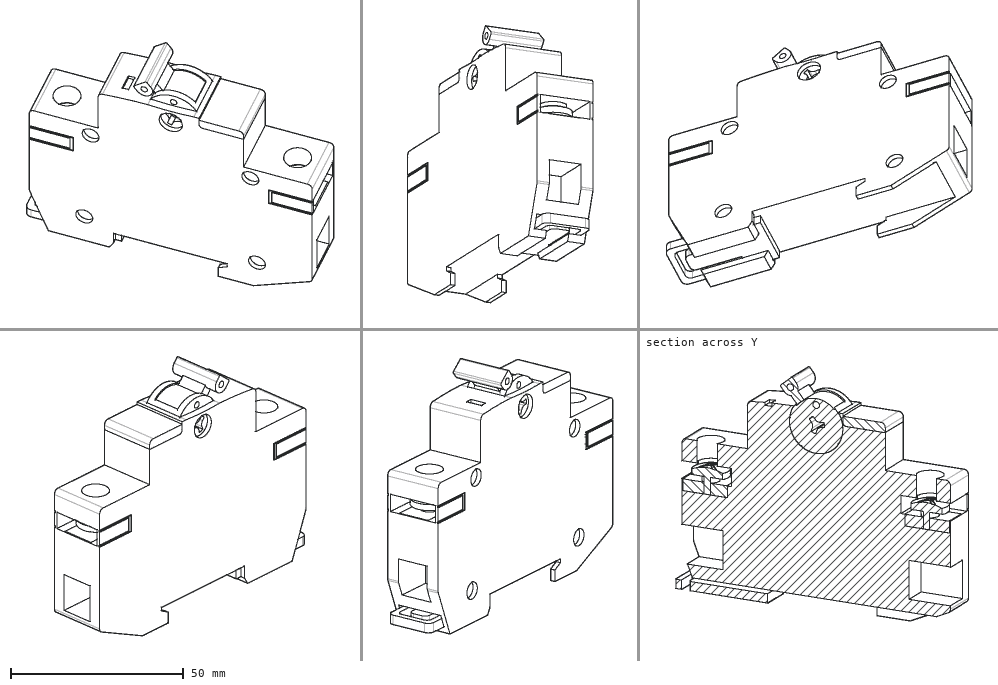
import cadquery as cq
import math


LENGTH = 87.5
WIDTH = 18.0
SHOULDER_Z = 48.4
CROWN_START_X = 21.3
CROWN_END_X = 66.3
CROWN_Z = 63.7
CROWN_EDGE_DROP = 0.9
EDGE_RADIUS = 1.5
TAPER_TOP_Z = 14.8
TAPER_FOOT_X = 5.9
RAIL_Z = 6.2
RAIL_START_X = 26.0
RAIL_END_X = 61.2
RAIL_LEAD_IN = 1.25
HOOK_X = 58.4
HOOK_LOW_Z = 3.6
HOOK_HIGH_Z = 5.0
HEEL_X = 69.4
HEEL_TOP_Z = 8.3

COVER_START_X = 52.5
COVER_BOTTOM_Z = 60.0
COVER_TOP_Z = 62.9
COVER_INNER_RADIUS = 1.2

PIVOT_X = 43.8
PIVOT_Z = 58.9
DRUM_RADIUS = 8.6
DRUM_WIDTH = 13.2
DISH_DEPTH = 0.3
JOURNAL_RADIUS = 3.6
JOURNAL_RECESS = 1.5
KEY_REACH = 2.6
KEY_WIDTH = 1.4
KEY_FILLET = 1.8
KEY_ANGLE = 9
SEAL_HOLE_RADIUS = 1.0
DRUM_HOLE_RISE = 6.1
GROOVE_DEPTH = 0.45
GROOVE_WIDTH = 8.95
GROOVE_REACH = 5.9
HANDLE_ANGLE = 129.4
HANDLE_REACH = 13.25
HANDLE_WIDTH = 16.9
HANDLE_HEAD_RADIUS = 2.6
HANDLE_TIP = 2.2
HANDLE_TIP_FILLET = 0.45
STEM_THICKNESS = 2.95

SCREW_XS = (8.3, 79.65)
SCREW_HOLE_RADIUS = 4.0
BAY_WIDTH = 16.0
BAY_BOTTOM_Z = 36.1
BAY_TOP_Z = 41.4
BAY_DEPTH = 16.1
CLAMP_WIDTH = 10.2
CLAMP_LENGTH = 14.3
CLAMP_THICKNESS = 3.6
CLAMP_SILL = 0.45
SCREW_SHANK_RADIUS = 2.64
SCREW_HEAD_RADIUS = 5.6
SCREW_HEAD_BOTTOM_Z = 37.7
SCREW_HEAD_EDGE_Z = 39.6
SCREW_DOME_Z = 40.9
CROSS_SLOT_WIDTH = 0.9
CROSS_SLOT_DEPTH = 0.5
WIRE_WIDTH = 10.2
WIRE_BOTTOM_Z = 10.3
WIRE_TOP_Z = 22.0
WIRE_DEPTH = 13.4

KNOCKOUT_LENGTH = 13.5
KNOCKOUT_END_GROOVE = 1.0
KNOCKOUT_SIDE_GROOVE = 0.49
KNOCKOUT_GROOVE_DEPTH = 0.3
RIVET_RADIUS = 2.6
RIVET_DEPTH = 1.5
RIVET_POINTS = ((19.0, 44.5), (68.4, 44.5), (17.0, 10.0), (70.4, 10.0))

WINDOW_X = 27.2
WINDOW_LENGTH = 2.1
WINDOW_Y = -5.0
WINDOW_WIDTH = 5.2
WINDOW_DEPTH = 1.25

CLIP_START_X = -2.0
CLIP_END_X = 28.0
CLIP_WIDTH = 14.95
CLIP_BOTTOM_Z = 2.15
CLIP_TOP_Z = 5.1
CLIP_RADIUS = 1.9
CLIP_BAND = 2.0
CLIP_SLOT = 2.4
CLIP_SLOT_END_X = 17.9
CLIP_INNER_RADIUS = 1.6
CLIP_GAP_WIDTH = 7.2


def box(x_start, x_end, y_start, y_end, z_start, z_end):
    """A box given by its limits."""
    size = (x_end - x_start, y_end - y_start, z_end - z_start)
    return cq.Workplane("XY").box(*size, centered=False).translate((x_start, y_start, z_start))


def middle_box(x_start, x_end, width, z_start, z_end):
    """A box centred across the breaker."""
    return box(x_start, x_end, -width / 2, width / 2, z_start, z_end)


def across(width):
    """A side-profile plane whose extrusion by `width` is centred across the breaker."""
    return cq.Workplane("XZ", origin=(0, width / 2, 0))


def cross_rod(x, z, radius, width):
    """A round rod lying across the breaker."""
    return across(width).center(x, z).circle(radius).extrude(width)


def inward_span(end, start, stop):
    """X limits of a feature between two depths from the clip end (0) or the far end (1)."""
    if end == 0:
        return start, stop
    return LENGTH - stop, LENGTH - start


def cover_block():
    """Plate filling the rear upper corner of the housing."""
    block = middle_box(COVER_START_X, CROWN_END_X, WIDTH, COVER_BOTTOM_Z, COVER_TOP_Z)
    block = block.edges("|Y and >X and >Z").fillet(EDGE_RADIUS)
    return block.edges("|Y and <X and <Z").fillet(COVER_INNER_RADIUS)


def housing_blank():
    """The full outline, with its crown sloping gently down at the front and dished at the drum."""
    half_dish = math.sqrt(DRUM_RADIUS**2 - (CROWN_Z - PIVOT_Z) ** 2)
    dish_start = PIVOT_X - half_dish
    dish_end = PIVOT_X + half_dish
    crown_middle = ((CROWN_START_X + dish_start) / 2, CROWN_Z - CROWN_EDGE_DROP / 4)
    blank = (
        across(WIDTH)
        .moveTo(TAPER_FOOT_X, 0)
        .lineTo(0, TAPER_TOP_Z)
        .lineTo(0, SHOULDER_Z)
        .lineTo(CROWN_START_X, SHOULDER_Z)
        .lineTo(CROWN_START_X, CROWN_Z - CROWN_EDGE_DROP)
        .threePointArc(crown_middle, (dish_start, CROWN_Z))
        .threePointArc((PIVOT_X, CROWN_Z - DISH_DEPTH), (dish_end, CROWN_Z))
        .lineTo(COVER_START_X, CROWN_Z)
        .lineTo(COVER_START_X, COVER_BOTTOM_Z)
        .lineTo(CROWN_END_X, COVER_BOTTOM_Z)
        .lineTo(CROWN_END_X, SHOULDER_Z)
        .lineTo(LENGTH, SHOULDER_Z)
        .lineTo(LENGTH, HEEL_TOP_Z)
        .lineTo(HEEL_X, 0)
        .lineTo(HOOK_X, 0)
        .lineTo(HOOK_X, HOOK_LOW_Z)
        .lineTo(RAIL_END_X, HOOK_HIGH_Z)
        .lineTo(RAIL_END_X, RAIL_Z)
        .lineTo(RAIL_START_X, RAIL_Z)
        .lineTo(RAIL_START_X, CLIP_BOTTOM_Z)
        .lineTo(RAIL_START_X - RAIL_LEAD_IN, 0)
        .close()
        .extrude(WIDTH)
    )
    rounded_corners = (
        (0, TAPER_TOP_Z),
        (0, SHOULDER_Z),
        (CROWN_START_X, CROWN_Z - CROWN_EDGE_DROP),
        (LENGTH, SHOULDER_Z),
        (LENGTH, HEEL_TOP_Z),
    )
    for x, z in rounded_corners:
        blank = blank.edges(cq.selectors.NearestToPointSelector((x, 0, z))).fillet(EDGE_RADIUS)
    corner_seat = middle_box(
        COVER_START_X, COVER_START_X + COVER_INNER_RADIUS, WIDTH,
        COVER_BOTTOM_Z, COVER_BOTTOM_Z + COVER_INNER_RADIUS,
    )
    return blank.union(corner_seat.cut(cover_block()))


def terminal_cavities(end, screw_x):
    """Screw hole, screw bay, clamp seat and wire entry at one end."""
    bay = middle_box(*inward_span(end, 0, BAY_DEPTH), BAY_WIDTH, BAY_BOTTOM_Z, BAY_TOP_Z)
    wire = middle_box(*inward_span(end, 0, WIRE_DEPTH), WIRE_WIDTH, WIRE_BOTTOM_Z, WIRE_TOP_Z)
    hole = (
        cq.Workplane("XY", origin=(screw_x, 0, BAY_BOTTOM_Z))
        .circle(SCREW_HOLE_RADIUS)
        .extrude(SHOULDER_Z - BAY_BOTTOM_Z)
    )
    return bay.union(wire).union(hole).union(clamp_block(end))


def knockout_groove(end, side):
    """Shallow groove bordering the knock-out panel beside a screw bay."""
    outer_y = side * WIDTH / 2
    inner_y = outer_y - side * KNOCKOUT_GROOVE_DEPTH
    y_limits = min(outer_y, inner_y), max(outer_y, inner_y)
    recess = box(*inward_span(end, 0, KNOCKOUT_LENGTH), *y_limits, BAY_BOTTOM_Z, BAY_TOP_Z)
    panel = box(
        *inward_span(end, 0, KNOCKOUT_LENGTH - KNOCKOUT_END_GROOVE), *y_limits,
        BAY_BOTTOM_Z + KNOCKOUT_SIDE_GROOVE, BAY_TOP_Z - KNOCKOUT_SIDE_GROOVE,
    )
    return recess.cut(panel)


def make_housing():
    housing = housing_blank()
    for end, screw_x in enumerate(SCREW_XS):
        housing = housing.cut(terminal_cavities(end, screw_x))
        for side in (-1, 1):
            housing = housing.cut(knockout_groove(end, side))

    rivet_recesses = (
        cq.Workplane("XZ", origin=(0, RIVET_DEPTH - WIDTH / 2, 0))
        .pushPoints(RIVET_POINTS)
        .circle(RIVET_RADIUS)
        .extrude(RIVET_DEPTH)
    )
    window = box(
        WINDOW_X, WINDOW_X + WINDOW_LENGTH, WINDOW_Y, WINDOW_Y + WINDOW_WIDTH,
        CROWN_Z - WINDOW_DEPTH, CROWN_Z,
    )
    drum_seat = cross_rod(PIVOT_X, PIVOT_Z, DRUM_RADIUS, DRUM_WIDTH)
    journal_bore = cross_rod(PIVOT_X, PIVOT_Z, JOURNAL_RADIUS, WIDTH)
    housing = housing.cut(rivet_recesses).cut(window).cut(drum_seat).cut(journal_bore)

    clip_channel = middle_box(0, RAIL_START_X, CLIP_WIDTH, CLIP_BOTTOM_Z, RAIL_Z)
    clip_gap = middle_box(0, RAIL_START_X, CLIP_GAP_WIDTH, 0, CLIP_BOTTOM_Z)
    hook_channel = middle_box(HOOK_X, LENGTH, CLIP_WIDTH, 0, RAIL_Z)
    return housing.cut(clip_channel).cut(clip_gap).cut(hook_channel)


def key_hole(length):
    """Three-lobed prism, its lobes joined by hollow curves, that runs through the drum."""
    lobe = middle_box(0, KEY_REACH, length, -KEY_WIDTH / 2, KEY_WIDTH / 2)
    key = lobe
    for turn in (120, 240):
        key = key.union(lobe.rotate((0, 0, 0), (0, 1, 0), -turn))
    corner_reach = KEY_WIDTH / 2 / math.sin(math.radians(60))
    for turn in (60, 180, 300):
        angle = math.radians(turn)
        corner = (corner_reach * math.cos(angle), 0, corner_reach * math.sin(angle))
        key = key.edges(cq.selectors.NearestToPointSelector(corner)).fillet(KEY_FILLET)
    return key.rotate((0, 0, 0), (0, 1, 0), -KEY_ANGLE)


def stem_groove():
    """Curved groove over the drum, from the lower edge of the stem to an upright end wall."""
    ring = cross_rod(0, 0, DRUM_RADIUS, GROOVE_WIDTH)
    ring = ring.cut(cross_rod(0, 0, DRUM_RADIUS - GROOVE_DEPTH, GROOVE_WIDTH))
    start_angle = HANDLE_ANGLE + math.degrees(math.asin(STEM_THICKNESS / 2 / DRUM_RADIUS))
    start_x = DRUM_RADIUS * math.cos(math.radians(start_angle))
    return ring.intersect(middle_box(start_x, GROOVE_REACH, GROOVE_WIDTH, 0, DRUM_RADIUS))


def make_drum():
    """Toggle drum on two journals, with a key hole, a seal hole and a groove for the stem."""
    journal_length = WIDTH - 2 * JOURNAL_RECESS
    drum = cross_rod(0, 0, DRUM_RADIUS, DRUM_WIDTH)
    drum = drum.union(cross_rod(0, 0, JOURNAL_RADIUS, journal_length))
    drum = drum.cut(key_hole(journal_length))
    drum = drum.cut(cross_rod(0, DRUM_HOLE_RISE, SEAL_HOLE_RADIUS, DRUM_WIDTH))
    return drum.cut(stem_groove()).translate((PIVOT_X, 0, PIVOT_Z))


def make_handle(drum):
    """Cross bar on a stem that stands in the drum groove."""
    bar = (
        across(HANDLE_WIDTH)
        .moveTo(0, HANDLE_HEAD_RADIUS)
        .lineTo(HANDLE_TIP, HANDLE_HEAD_RADIUS)
        .lineTo(HANDLE_TIP, -HANDLE_HEAD_RADIUS)
        .lineTo(0, -HANDLE_HEAD_RADIUS)
        .threePointArc((-HANDLE_HEAD_RADIUS, 0), (0, HANDLE_HEAD_RADIUS))
        .close()
        .extrude(HANDLE_WIDTH)
        .edges("|Y and >X")
        .fillet(HANDLE_TIP_FILLET)
        .translate((HANDLE_REACH, 0, 0))
    )
    half_stem = STEM_THICKNESS / 2
    stem = middle_box(DRUM_RADIUS / 2, HANDLE_REACH, GROOVE_WIDTH, -half_stem, half_stem)
    groove_floor = cross_rod(0, 0, DRUM_RADIUS - GROOVE_DEPTH, GROOVE_WIDTH)
    seal_hole = cross_rod(HANDLE_REACH, 0, SEAL_HOLE_RADIUS, HANDLE_WIDTH)
    handle = stem.cut(groove_floor).union(bar).cut(seal_hole)
    handle = handle.rotate((0, 0, 0), (0, 1, 0), -HANDLE_ANGLE)
    return handle.translate((PIVOT_X, 0, PIVOT_Z)).cut(drum)


def clamp_block(end):
    """Outer form of a terminal clamp, its top level with the floor of the screw bay."""
    span = inward_span(end, CLAMP_SILL, CLAMP_SILL + CLAMP_LENGTH)
    return middle_box(*span, CLAMP_WIDTH, BAY_BOTTOM_Z - CLAMP_THICKNESS, BAY_BOTTOM_Z)


def make_screw(x):
    """Domed terminal screw with a diagonal cross slot; its shank ends level with the clamp."""
    shank_bottom = BAY_BOTTOM_Z - CLAMP_THICKNESS
    dome_rise = SCREW_DOME_Z - SCREW_HEAD_EDGE_Z
    dome_radius = (SCREW_HEAD_RADIUS**2 + dome_rise**2) / (2 * dome_rise)
    mid_r = SCREW_HEAD_RADIUS / 2
    mid_z = SCREW_DOME_Z - dome_radius + math.sqrt(dome_radius**2 - mid_r**2)
    screw = (
        cq.Workplane("XZ")
        .moveTo(0, shank_bottom)
        .lineTo(SCREW_SHANK_RADIUS, shank_bottom)
        .lineTo(SCREW_SHANK_RADIUS, SCREW_HEAD_BOTTOM_Z)
        .lineTo(SCREW_HEAD_RADIUS, SCREW_HEAD_BOTTOM_Z)
        .lineTo(SCREW_HEAD_RADIUS, SCREW_HEAD_EDGE_Z)
        .threePointArc((mid_r, mid_z), (0, SCREW_DOME_Z))
        .close()
        .revolve(360, (0, 0, 0), (0, 1, 0))
    )
    slot = middle_box(
        -SCREW_HEAD_RADIUS, SCREW_HEAD_RADIUS, CROSS_SLOT_WIDTH,
        SCREW_DOME_Z - CROSS_SLOT_DEPTH, SCREW_DOME_Z,
    )
    for angle in (45, 135):
        screw = screw.cut(slot.rotate((0, 0, 0), (0, 0, 1), angle))
    return screw.translate((x, 0, 0))


def make_clip():
    """Sliding rail clip: a plate with a U-shaped slot around a central tongue."""
    clip = middle_box(CLIP_START_X, CLIP_END_X, CLIP_WIDTH, CLIP_BOTTOM_Z, CLIP_TOP_Z)
    clip = clip.edges("|Z and <X").fillet(CLIP_RADIUS)
    slot_start = CLIP_START_X + CLIP_BAND
    slot_width = CLIP_WIDTH - 2 * CLIP_BAND
    slot = middle_box(slot_start, CLIP_SLOT_END_X, slot_width, CLIP_BOTTOM_Z, CLIP_TOP_Z)
    slot = slot.edges("|Z and <X").fillet(CLIP_INNER_RADIUS)
    tongue = middle_box(
        slot_start + CLIP_SLOT, CLIP_SLOT_END_X, slot_width - 2 * CLIP_SLOT, CLIP_BOTTOM_Z, CLIP_TOP_Z
    )
    tongue = tongue.edges("|Z and <X").fillet(CLIP_INNER_RADIUS)
    return clip.cut(slot.cut(tongue))


housing = make_housing()
cover = cover_block()
drum = make_drum()
handle = make_handle(drum)
clip = make_clip()
screws = [make_screw(x) for x in SCREW_XS]
clamps = [clamp_block(end).cut(screw) for end, screw in enumerate(screws)]

bodies = [housing, cover, drum, handle, clip, *screws, *clamps]
result = cq.Compound.makeCompound([body.solids().val() for body in bodies])